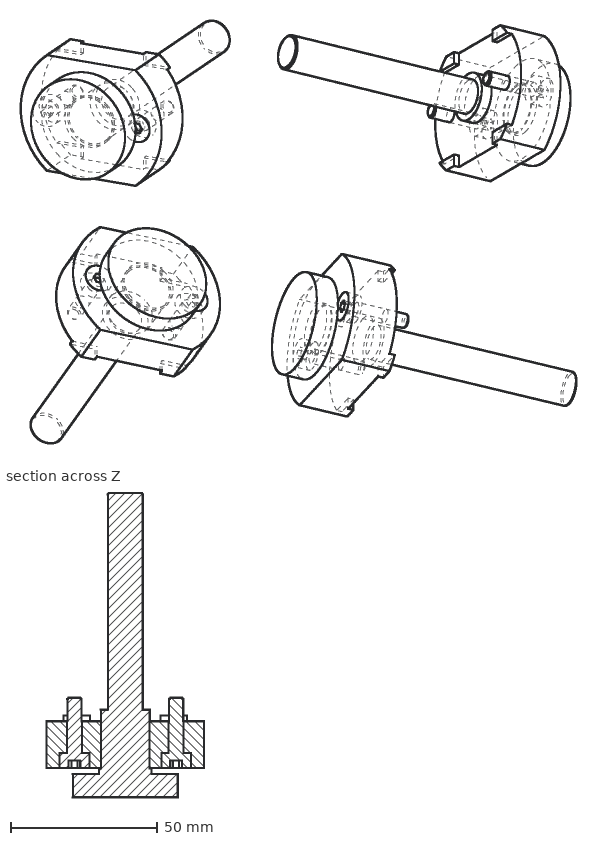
import cadquery as cq

disc_thickness = 8.0
neck_length = 2.0
plate_thickness = 18.0
pad_height = 2.0
collar_height = 4.0
screw_projection = 6.0
total_length = 104.0

plate_front = disc_thickness + neck_length
plate_back = plate_front + plate_thickness
floor_y = plate_back - pad_height
collar_end = floor_y + collar_height
screw_end = plate_back + screw_projection

disc_diameter = 36.0
neck_diameter = 18.0
collar_diameter = 16.8
shaft_diameter = 12.1
shaft_chamfer = 0.5

plate_diameter = 54.0
plate_height = 42.0
pad_gap_x = 23.9
pad_gap_z = 33.6

screw_offset = 17.4
screw_diameter = 5.0
head_diameter = 10.0
head_depth = 5.0
socket_corner_diameter = 4.0
socket_depth = 2.5
screw_chamfer = 0.5


def cylinder_y(diameter, y_start, y_end, x=0.0):
    """Cylinder parallel to Y between two stations."""
    return (
        cq.Workplane("XZ", origin=(x, y_start, 0))
        .circle(diameter / 2)
        .extrude(y_start - y_end)
    )


def box_y(width, height, y_start, y_end):
    """Box centred on the Y axis between two stations."""
    return (
        cq.Workplane("XZ", origin=(0, y_start, 0))
        .rect(width, height)
        .extrude(y_start - y_end)
    )


def screw_envelope(x):
    """Head and shank without chamfer or socket, also used to cut the plate."""
    head_end = plate_front + head_depth
    head = cylinder_y(head_diameter, plate_front, head_end, x)
    shank = cylinder_y(screw_diameter, head_end, screw_end, x)
    return head.union(shank)


def make_spindle():
    """Disc, neck, collar and long shaft turned as one piece."""
    shaft = cylinder_y(shaft_diameter, collar_end, total_length)
    shaft = shaft.faces(">Y").chamfer(shaft_chamfer)
    disc = cylinder_y(disc_diameter, 0, disc_thickness)
    neck = cylinder_y(neck_diameter, disc_thickness, plate_front)
    collar = cylinder_y(collar_diameter, plate_front, collar_end)
    return disc.union(neck).union(collar).union(shaft)


def make_plate():
    """Flatted disc with crossing channels, collar bore and counterbored holes."""
    plate = cylinder_y(plate_diameter, plate_front, plate_back)
    plate = plate.intersect(box_y(plate_diameter, plate_height, plate_front, plate_back))

    plate = plate.cut(box_y(pad_gap_x, plate_height, floor_y, plate_back))
    plate = plate.cut(box_y(plate_diameter, pad_gap_z, floor_y, plate_back))

    plate = plate.cut(cylinder_y(collar_diameter, plate_front, plate_back))
    for x in screw_positions:
        plate = plate.cut(screw_envelope(x))
    return plate


def make_screw(x):
    """Screw with a flush head, hexagon socket and chamfered tip."""
    socket = (
        cq.Workplane("XZ", origin=(x, plate_front, 0))
        .polygon(6, socket_corner_diameter)
        .extrude(-socket_depth)
    )
    return screw_envelope(x).faces(">Y").chamfer(screw_chamfer).cut(socket)


screw_positions = (-screw_offset, screw_offset)
spindle = make_spindle()
plate = make_plate()
screws = [make_screw(x).val() for x in screw_positions]

result = cq.Compound.makeCompound([spindle.val(), plate.val(), *screws])